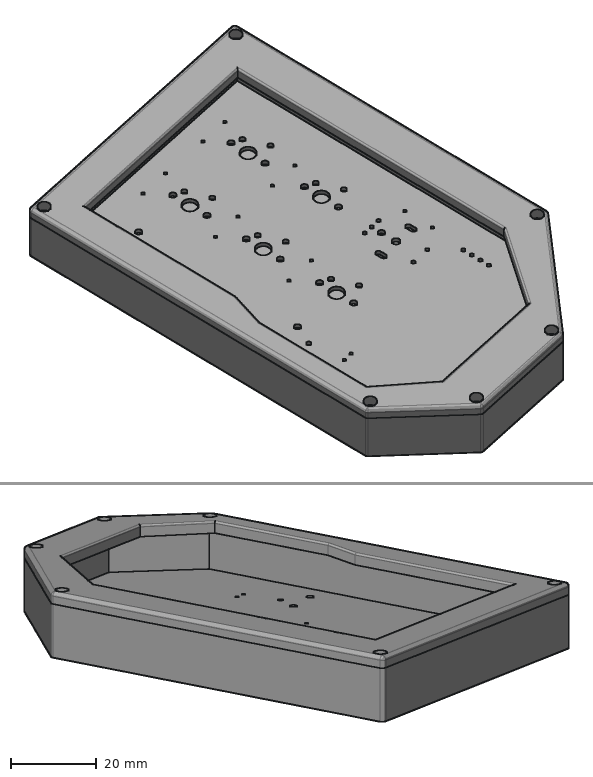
import cadquery as cq


LENGTH = 121.8
WIDTH = 76.0
FRONT_CUT_X = 101.7
FRONT_CUT_Y = 18.0
BACK_CUT_X = 94.4
BACK_CUT_Y = 48.0
EDGE_RADIUS = 1.0

HEIGHT = 16.0
FRAME_THICKNESS = 2.9
CASE_HEIGHT = HEIGHT - FRAME_THICKNESS
FLOOR_THICKNESS = 2.5
BOARD_THICKNESS = 1.2

SCREW_INSET = 2.7
SCREW_DIAMETER = 3.2

WALL = 5.1
POCKET_RIGHT = LENGTH - WALL
POCKET_BACK = WIDTH - WALL
POCKET_FRONT_CUT_X = 99.1
POCKET_FRONT_CUT_Y = 20.8
POCKET_BACK_CUT_X = 91.4
POCKET_BACK_CUT_Y = 45.1

WINDOW_LEFT = 10.0
WINDOW_RIGHT = 109.5
WINDOW_FRONT = 6.0
WINDOW_BACK = 65.0
WINDOW_STEP_Y = 8.9
WINDOW_STEP_START_X = 55.0
WINDOW_STEP_END_X = 64.8
WINDOW_FRONT_CUT_X = 97.0
WINDOW_FRONT_CUT_Y = 18.4
WINDOW_BACK_CUT_X = 90.0
WINDOW_BACK_CUT_Y = 50.2
WINDOW_RADIUS = 0.5

KEY_X = 21.5
KEY_Y = 33.3
KEY_PITCH_X = 22.0
KEY_PITCH_Y = 21.4
KEY_CELLS = [(0, 0), (1, 0), (2, 0), (0, 1), (1, 1)]
KEY_POST_DIAMETER = 4.0
KEY_SIDE_DIAMETER = 1.7
KEY_SIDE_OFFSETS = [(-5.1, 0), (5.1, 0)]
KEY_PIN_DIAMETER = 1.5
KEY_PIN_OFFSETS = [(-3.8, 2.5), (2.5, 5.1)]

ENCODER_X = 66.0
ENCODER_Y = KEY_Y + KEY_PITCH_Y
ENCODER_POST_DIAMETER = 2.1
ENCODER_SIDE_DIAMETER = 1.7
ENCODER_SIDE_OFFSET = (-4.4, 0)
ENCODER_PIN_DIAMETER = 1.0
ENCODER_PIN_X = 7.3
ENCODER_PIN_Y = 2.5
ENCODER_SLOT_Y = 5.5
ENCODER_SLOT_LENGTH = 3.0
ENCODER_SLOT_WIDTH = 1.5

LEAD_DIAMETER = 0.8
DIODE_SPACING = 8.3
DIODE_CENTRES_ALONG_Y = [(10.7, 33.4), (32.5, 33.4), (54.6, 33.4), (32.5, 54.3)]
DIODE_CENTRES_ALONG_X = [(65.7, 63.5)]
LEFT_PART_SPACING = 8.0
LEFT_PART_CENTRES = [(11.1, 54.9)]
SMALL_PART_SPACING = 2.5
SMALL_PART_CENTRES = [(80.5, 19.1)]

HEADER_DIAMETER = 1.0
HEADER_COUNT = 4
HEADER_PITCH = 2.5
HEADER_X = 79.9
HEADER_Y = 62.5

SOCKET_PIN_DIAMETER = 1.2
SOCKET_PINS = [(12.4, 13.2), (12.4, 16.7), (70.8, 16.7)]
SOCKET_POST_DIAMETER = 1.7
SOCKET_POSTS = [(17.7, 19.1), (16.5, 10.6), (65.4, 19.1), (66.6, 10.6)]


def polygon(points):
    return cq.Workplane("XY").polyline(points).close()


def outline():
    return polygon([
        (0, 0),
        (FRONT_CUT_X, 0),
        (LENGTH, FRONT_CUT_Y),
        (LENGTH, BACK_CUT_Y),
        (BACK_CUT_X, WIDTH),
        (0, WIDTH),
    ])


def pocket_outline():
    return polygon([
        (WALL, WALL),
        (POCKET_FRONT_CUT_X, WALL),
        (POCKET_RIGHT, POCKET_FRONT_CUT_Y),
        (POCKET_RIGHT, POCKET_BACK_CUT_Y),
        (POCKET_BACK_CUT_X, POCKET_BACK),
        (WALL, POCKET_BACK),
    ])


def window_outline():
    return polygon([
        (WINDOW_LEFT, WINDOW_STEP_Y),
        (WINDOW_STEP_START_X, WINDOW_STEP_Y),
        (WINDOW_STEP_END_X, WINDOW_FRONT),
        (WINDOW_FRONT_CUT_X, WINDOW_FRONT),
        (WINDOW_RIGHT, WINDOW_FRONT_CUT_Y),
        (WINDOW_RIGHT, WINDOW_BACK_CUT_Y),
        (WINDOW_BACK_CUT_X, WINDOW_BACK),
        (WINDOW_LEFT, WINDOW_BACK),
    ])


def raised(body, z):
    return body.translate((0, 0, z))


def outer_block(height):
    return outline().extrude(height).edges("|Z").fillet(EDGE_RADIUS)


def round_pegs(points, diameter, height):
    return cq.Workplane("XY").pushPoints(points).circle(diameter / 2).extrude(height)


def drill_screw_holes(body):
    """Cut a through hole at every corner of the inset outline."""
    corners = outline().offset2D(-SCREW_INSET, "intersection").vertices().vals()
    points = [(corner.X, corner.Y) for corner in corners]
    return body.cut(round_pegs(points, SCREW_DIAMETER, HEIGHT))


def make_case():
    pocket = raised(pocket_outline().extrude(CASE_HEIGHT), FLOOR_THICKNESS)
    return drill_screw_holes(outer_block(CASE_HEIGHT).cut(pocket))


def make_frame():
    block = outer_block(FRAME_THICKNESS).faces(">Z").edges().fillet(EDGE_RADIUS)
    opened = block.cut(window_outline().extrude(FRAME_THICKNESS))
    around_window = cq.selectors.BoxSelector(
        (WALL, WALL, FRAME_THICKNESS / 2),
        (POCKET_RIGHT, POCKET_BACK, FRAME_THICKNESS * 2),
        boundingbox=True,
    )
    rounded = opened.faces(">Z").edges(around_window).fillet(WINDOW_RADIUS)
    return drill_screw_holes(raised(rounded, CASE_HEIGHT))


def shifted(offsets, x, y):
    return [(x + dx, y + dy) for dx, dy in offsets]


def key_holes():
    """Hole groups, as (points, diameter), for all key switches."""
    centres = [(KEY_X + col * KEY_PITCH_X, KEY_Y + row * KEY_PITCH_Y) for col, row in KEY_CELLS]
    groups = [(centres, KEY_POST_DIAMETER)]
    for x, y in centres:
        groups.append((shifted(KEY_SIDE_OFFSETS, x, y), KEY_SIDE_DIAMETER))
        groups.append((shifted(KEY_PIN_OFFSETS, x, y), KEY_PIN_DIAMETER))
    return groups


def encoder_holes():
    """Hole groups for the encoder: five pins and two posts."""
    pins = [(-ENCODER_PIN_X, 0)]
    for x in (-ENCODER_PIN_X, ENCODER_PIN_X):
        for y in (-ENCODER_PIN_Y, ENCODER_PIN_Y):
            pins.append((x, y))
    return [
        (shifted(pins, ENCODER_X, ENCODER_Y), ENCODER_PIN_DIAMETER),
        ([(ENCODER_X, ENCODER_Y)], ENCODER_POST_DIAMETER),
        (shifted([ENCODER_SIDE_OFFSET], ENCODER_X, ENCODER_Y), ENCODER_SIDE_DIAMETER),
    ]


def encoder_slots():
    centres = [(ENCODER_X, ENCODER_Y - ENCODER_SLOT_Y), (ENCODER_X, ENCODER_Y + ENCODER_SLOT_Y)]
    slots = cq.Workplane("XY").pushPoints(centres)
    return slots.slot2D(ENCODER_SLOT_LENGTH, ENCODER_SLOT_WIDTH).extrude(BOARD_THICKNESS)


def pairs(centres, spacing_x, spacing_y):
    """Two points either side of each centre."""
    points = []
    for side in (-0.5, 0.5):
        points += shifted(centres, side * spacing_x, side * spacing_y)
    return points


def lead_holes():
    points = pairs(DIODE_CENTRES_ALONG_Y, 0, DIODE_SPACING)
    points += pairs(DIODE_CENTRES_ALONG_X, DIODE_SPACING, 0)
    points += pairs(LEFT_PART_CENTRES, 0, LEFT_PART_SPACING)
    points += pairs(SMALL_PART_CENTRES, 0, SMALL_PART_SPACING)
    return [(points, LEAD_DIAMETER)]


def connector_holes():
    header = [(HEADER_X + i * HEADER_PITCH, HEADER_Y) for i in range(HEADER_COUNT)]
    return [
        (header, HEADER_DIAMETER),
        (SOCKET_PINS, SOCKET_PIN_DIAMETER),
        (SOCKET_POSTS, SOCKET_POST_DIAMETER),
    ]


def make_board():
    board = pocket_outline().extrude(BOARD_THICKNESS)
    for points, diameter in key_holes() + encoder_holes() + lead_holes() + connector_holes():
        board = board.cut(round_pegs(points, diameter, BOARD_THICKNESS))
    return raised(board.cut(encoder_slots()), FLOOR_THICKNESS)


case = make_case()
frame = make_frame()
board = make_board()
result = cq.Compound.makeCompound([case.val(), frame.val(), board.val()])